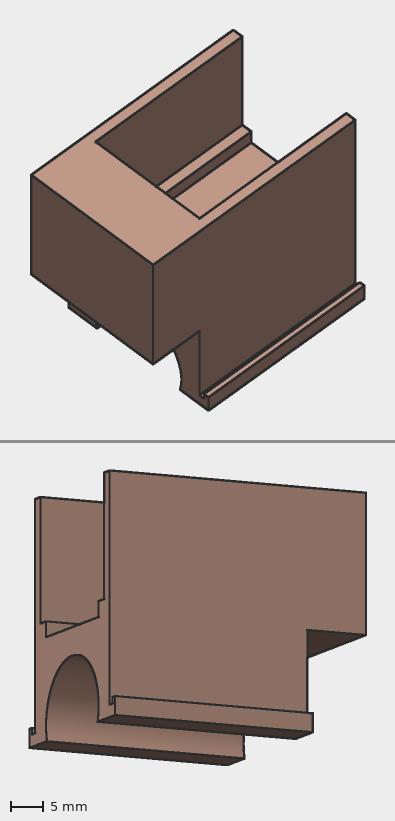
import cadquery as cq

body_width = 27.0
body_height = 39.0
body_length = 44.1
leg_length = 34.0
nose_underside = 16.5
body_back = body_length / 2
body_front = -body_back
leg_front = body_back - leg_length

wall_thickness = 2.0
ledge_width = 2.0
ledge_height = 19.0
floor_height = nose_underside
pocket_width = body_width - 2 * wall_thickness
pocket_front = leg_front + wall_thickness
channel_width = pocket_width - 2 * ledge_width

tunnel_radius = channel_width / 2
tunnel_top = 12.0
tunnel_centre_height = tunnel_top - tunnel_radius

rail_span = 31.0
rail_base_height = 2.0
lip_width = 1.0
lip_height = 1.0
rail_height = rail_base_height + lip_height


def box(width, y_front, y_back, z_bottom, z_top):
    """Box centred on X = 0 between the given Y and Z limits."""
    return (
        cq.Workplane("XY", origin=(0, (y_front + y_back) / 2, z_bottom))
        .box(width, y_back - y_front, z_top - z_bottom, centered=(True, True, False))
    )


def housing():
    """Solid body with an L-shaped side profile."""
    upper_block = box(body_width, body_front, body_back, nose_underside, body_height)
    leg_block = box(body_width, leg_front, body_back, 0, nose_underside)
    return upper_block.union(leg_block)


def rails():
    """Wide foot plate with an upturned lip on each outer edge."""
    plate = box(rail_span, leg_front, body_back, 0, rail_height)
    width_between_lips = rail_span - 2 * lip_width
    gap = box(width_between_lips, leg_front, body_back, rail_base_height, rail_height)
    return plate.cut(gap)


def stepped_pocket():
    """Pocket volume: wide above the ledges, narrower between them."""
    upper = box(pocket_width, pocket_front, body_back, ledge_height, body_height)
    channel = box(channel_width, pocket_front, body_back, floor_height, ledge_height)
    return upper.union(channel)


def tunnel():
    """Cylinder along Y, open at the bottom of the legs."""
    return (
        cq.Workplane("XZ", origin=(0, body_back, tunnel_centre_height))
        .circle(tunnel_radius)
        .extrude(leg_length)
    )


result = housing().union(rails()).cut(stepped_pocket()).cut(tunnel())